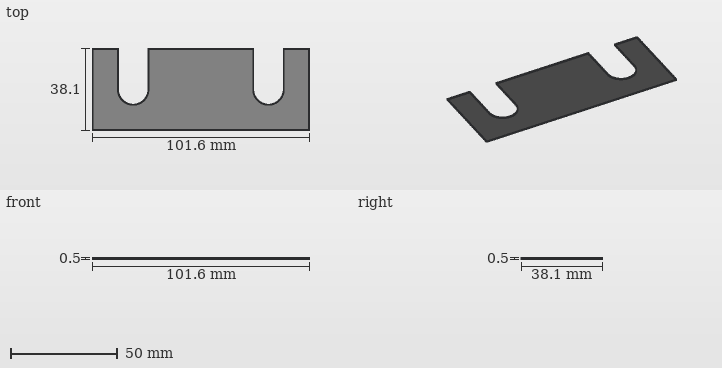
import cadquery as cq

length = 101.6
depth = 38.1
thickness = 0.5
slot_width = 14.2
slot_spacing = 63.5

back_edge = depth / 2


def open_slot(center_x):
    """Cutter for a round-ended slot that opens through the back (+Y) edge."""
    round_end = cq.Workplane("XY").center(center_x, 0).circle(slot_width / 2).extrude(thickness)
    straight_part = (
        cq.Workplane("XY")
        .center(center_x, back_edge / 2)
        .rect(slot_width, back_edge)
        .extrude(thickness)
    )
    return round_end.union(straight_part)


result = cq.Workplane("XY").rect(length, depth).extrude(thickness)
for side in (-1, 1):
    result = result.cut(open_slot(side * slot_spacing / 2))